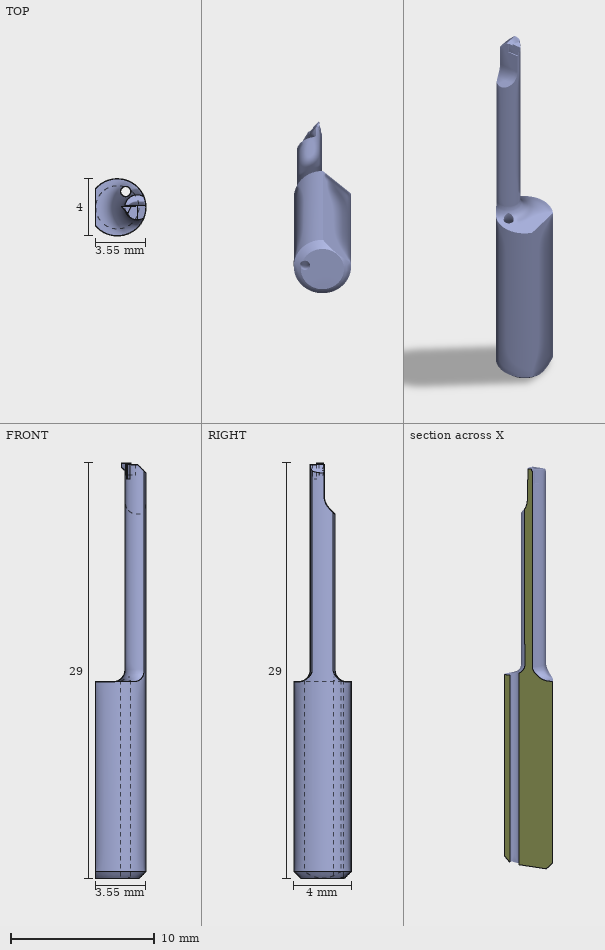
import cadquery as cq
import math

TOTAL_LENGTH = 29.0

SHANK_RADIUS = 2.0
SHANK_LENGTH = 13.75
SHANK_FLAT_X = -1.55
SHANK_CHAMFER = 0.5

NECK_RADIUS = 0.87
NECK_CENTER_X = 1.4
NECK_TOP = 28.88
NECK_FILLET = 0.8

COOLANT_DIAMETER = 0.7
COOLANT_X = 0.58
COOLANT_Y = 1.1

RAKE_Y = 0.12
RAKE_BOTTOM = 26.68
RUNOUT_RADIUS = 1.2
RUNOUT_ANGLE = math.radians(45)

BACK_CHAMFER = 0.58

TOOTH_X = 0.3
TOOTH_FACE_Y = 0.05
TOOTH_SEAT_BACK_X = 1.28
TOOTH_LAND_BOTTOM = 28.68
TOOTH_UNDERCUT_TOP = 28.48
TOOTH_BOTTOM = 28.15
TOOTH_BACK_X = 0.95
FACET_START_Y = -0.44
FACET_END_X = 0.87
FACET_DEPTH = 0.1
FACET_BOTTOM = 27.9

CLEARANCE = 1.45


def make_shank():
    shank = cq.Workplane("XY").circle(SHANK_RADIUS).extrude(SHANK_LENGTH)
    return shank.faces("<Z").chamfer(SHANK_CHAMFER)


def make_neck():
    """Round neck with a flared root, revolved about its own axis."""
    root_radius = NECK_RADIUS + NECK_FILLET
    root_top = SHANK_LENGTH + NECK_FILLET
    arc_offset = NECK_FILLET * math.sin(math.radians(45))
    arc_middle = (root_radius - arc_offset, root_top - arc_offset)
    return (
        cq.Workplane("XZ")
        .moveTo(0, SHANK_LENGTH - CLEARANCE)
        .lineTo(root_radius, SHANK_LENGTH - CLEARANCE)
        .lineTo(root_radius, SHANK_LENGTH)
        .threePointArc(arc_middle, (NECK_RADIUS, root_top))
        .lineTo(NECK_RADIUS, NECK_TOP)
        .lineTo(0, NECK_TOP)
        .close()
        .revolve(360, (0, 0, 0), (0, 1, 0))
        .translate((NECK_CENTER_X, 0, 0))
    )


def make_envelope():
    """Flatted round bar that bounds the shank and the neck."""
    bar = cq.Workplane("XY").circle(SHANK_RADIUS).extrude(TOTAL_LENGTH)
    width = SHANK_RADIUS - SHANK_FLAT_X
    limit = cq.Workplane("XY").box(
        width, 2 * SHANK_RADIUS, TOTAL_LENGTH, centered=(False, True, False)
    )
    return bar.intersect(limit.translate((SHANK_FLAT_X, 0, 0)))


def make_rake_relief():
    """Flat rake face that runs out through an arc and a tangent slope."""
    def runout_point(angle):
        y = RAKE_Y + RUNOUT_RADIUS * (1 - math.cos(angle))
        z = RAKE_BOTTOM - RUNOUT_RADIUS * math.sin(angle)
        return y, z

    arc_end = runout_point(RUNOUT_ANGLE)
    outer_y = SHANK_RADIUS + CLEARANCE
    outer_z = arc_end[1] - (outer_y - arc_end[0]) * math.tan(RUNOUT_ANGLE)
    top = TOTAL_LENGTH + CLEARANCE
    return (
        cq.Workplane("YZ")
        .moveTo(RAKE_Y, top)
        .lineTo(RAKE_Y, RAKE_BOTTOM)
        .threePointArc(runout_point(RUNOUT_ANGLE / 2), arc_end)
        .lineTo(outer_y, outer_z)
        .lineTo(outer_y, top)
        .close()
        .extrude(SHANK_RADIUS + CLEARANCE, both=True)
    )


def make_back_cut():
    """45 degree wedge removed from the back of the tip."""
    leg = BACK_CHAMFER + CLEARANCE
    return (
        cq.Workplane("XZ")
        .moveTo(SHANK_RADIUS - leg, NECK_TOP - BACK_CHAMFER + leg)
        .lineTo(SHANK_RADIUS + leg, NECK_TOP - BACK_CHAMFER - leg)
        .lineTo(SHANK_RADIUS + leg, NECK_TOP - BACK_CHAMFER + leg)
        .close()
        .extrude(SHANK_RADIUS, both=True)
    )


def neck_left_x(y):
    return NECK_CENTER_X - math.sqrt(NECK_RADIUS**2 - y**2)


def make_clearance_facet():
    """Flat ground into the neck beside the tooth."""
    neck_x = neck_left_x(FACET_START_Y)
    start = (neck_x + FACET_DEPTH, FACET_START_Y)
    end_offset = FACET_END_X - NECK_CENTER_X
    end = (FACET_END_X, -math.sqrt(NECK_RADIUS**2 - end_offset**2))
    outline = [start, end, (neck_x, end[1]), (neck_x, FACET_START_Y)]
    return (
        cq.Workplane("XY", origin=(0, 0, FACET_BOTTOM))
        .polyline(outline)
        .close()
        .extrude(TOTAL_LENGTH - FACET_BOTTOM)
    )


def make_tooth_seat():
    """Shallow step in the rake face, level with the tooth face."""
    seat = cq.Workplane("XY").box(
        TOOTH_SEAT_BACK_X,
        RAKE_Y - TOOTH_FACE_Y,
        TOTAL_LENGTH - TOOTH_BOTTOM,
        centered=False,
    )
    return seat.translate((0, TOOTH_FACE_Y, TOOTH_BOTTOM))


def make_tooth():
    """Cutting tooth: side profile trimmed to a triangular plan."""
    neck_x = neck_left_x(0)
    profile = [
        (TOOTH_X, TOTAL_LENGTH),
        (TOOTH_X, TOOTH_LAND_BOTTOM),
        (neck_x, TOOTH_UNDERCUT_TOP),
        (neck_x, TOOTH_BOTTOM),
        (TOOTH_BACK_X, TOOTH_BOTTOM),
        (TOOTH_BACK_X, TOTAL_LENGTH),
    ]
    plan = [
        (TOOTH_X, TOOTH_FACE_Y),
        (neck_left_x(FACET_START_Y) + FACET_DEPTH, FACET_START_Y),
        (TOOTH_BACK_X, TOOTH_FACE_Y),
    ]
    block = cq.Workplane("XZ").polyline(profile).close().extrude(SHANK_RADIUS, both=True)
    plan_prism = cq.Workplane("XY").polyline(plan).close().extrude(TOTAL_LENGTH)
    return block.intersect(plan_prism)


coolant_hole = (
    cq.Workplane("XY")
    .center(COOLANT_X, COOLANT_Y)
    .circle(COOLANT_DIAMETER / 2)
    .extrude(TOTAL_LENGTH)
)

body = make_shank().union(make_neck()).intersect(make_envelope())
body = body.cut(coolant_hole)
body = body.cut(make_rake_relief())
body = body.cut(make_back_cut())
body = body.cut(make_clearance_facet())
body = body.cut(make_tooth_seat())
result = body.union(make_tooth())